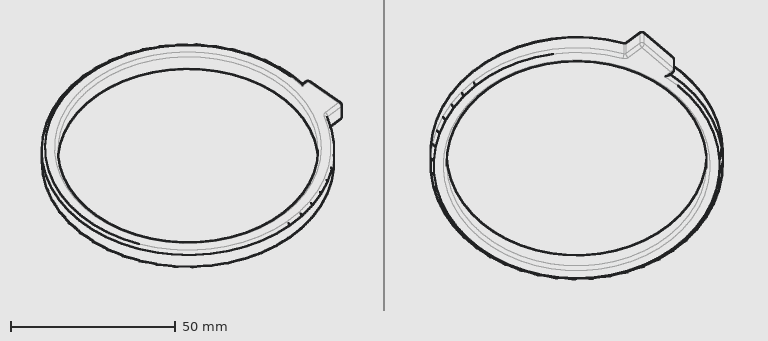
import cadquery as cq
import math

height = 7.0
outer_diameter = 89.0
outer_radius = outer_diameter / 2
inner_radius = 39.5
edge_round = 1.0

overall_depth = 95.0
tab_turn = 27.0
tab_start = 5.8
tab_width = 14.9
tab_end = tab_start + tab_width
tab_corner_round = 0.95
tab_root_round = 0.6


def tab_top():
    """Height of the tab's outer side, before the turn, that gives the overall depth along Y."""
    turn = math.radians(tab_turn)
    corner_centre_x = tab_end - tab_corner_round
    turned_centre_y = overall_depth - outer_radius - tab_corner_round
    corner_centre_y = (turned_centre_y - corner_centre_x * math.sin(turn)) / math.cos(turn)
    return corner_centre_y + tab_corner_round


def make_tab():
    """Tab with rounded outer corners, reaching inward past the bore that is cut later."""
    tab = (
        cq.Workplane("XY")
        .moveTo(tab_start, 0)
        .lineTo(tab_end, 0)
        .lineTo(tab_end, tab_top())
        .lineTo(tab_start, tab_top())
        .close()
        .extrude(height)
        .edges("|Z and >Y")
        .fillet(tab_corner_round)
    )
    return tab.rotate((0, 0, 0), (0, 0, 1), tab_turn)


def far_tab_root():
    """Mid-height point where the +X side of the tab meets the rim."""
    angle = math.radians(tab_turn) + math.acos(tab_end / outer_radius)
    return (outer_radius * math.cos(angle), outer_radius * math.sin(angle), height / 2)


def make_tabbed_ring():
    """Ring and tab in one piece, rounded along all top and bottom edges."""
    disc = cq.Workplane("XY").circle(outer_radius).extrude(height)
    bore = cq.Workplane("XY").circle(inner_radius).extrude(height)
    body = disc.union(make_tab()).cut(bore)
    far_root_edge = cq.selectors.NearestToPointSelector(far_tab_root())
    body = body.edges(far_root_edge).fillet(tab_root_round)
    return body.faces("<Z or >Z").edges().fillet(edge_round)


tabbed_ring = make_tabbed_ring()

result = cq.Compound.makeCompound([tabbed_ring.val()])